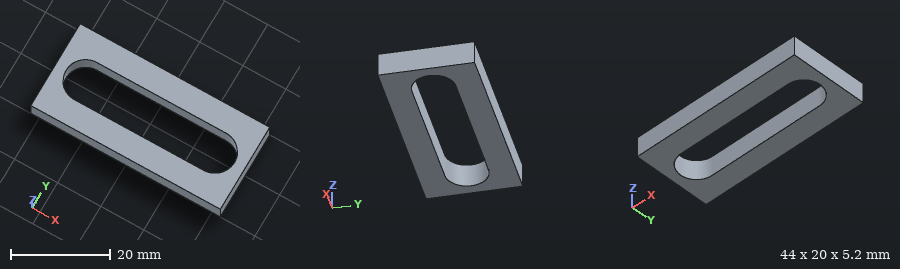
import cadquery as cq

plate_length = 44.0
plate_width = 20.0
plate_thickness = 5.2

slot_width = 9.0
slot_travel = 30.0
slot_length = slot_travel + slot_width


def make_plate():
    """Rectangular plate centred on the origin in X and Y, resting on Z = 0."""
    return cq.Workplane("XY").box(
        plate_length, plate_width, plate_thickness, centered=(True, True, False)
    )


def cut_slot(plate):
    """Cut the slot along X through the full thickness."""
    return plate.faces(">Z").workplane().slot2D(slot_length, slot_width).cutThruAll()


result = cut_slot(make_plate())